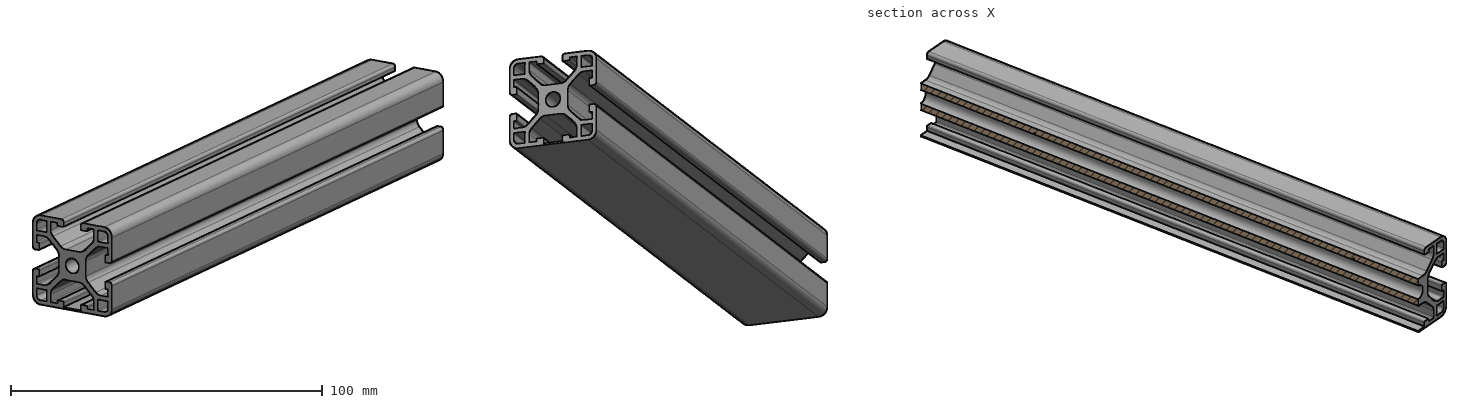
import cadquery as cq
import math

LENGTH = 200.0
SIDE = 30.0
HALF = SIDE / 2
CORNER_RADIUS = 3.0

WALL = 1.5
OPENING_HALF = 3.2
LIP_HOOK = 1.0
LIP_SIZE = WALL + LIP_HOOK
LIP_RADIUS = 1.0
EASE_RADIUS = 0.3
CAVITY_HALF = 8.2
BEND_RADIUS = 2.8
WEB_THICKNESS = 2.0

BORE_DIAMETER = 5.0
CORE_WALL = 2.5
CORE_HALF = BORE_DIAMETER / 2 + CORE_WALL

HOLLOW_SIDE = HALF - CAVITY_HALF - 2 * WALL
HOLLOW_RADIUS = CORNER_RADIUS - WALL

COVER_THICKNESS = 0.5


def section():
    """Sketch plane across the extrusion; its x and y are the part's X and Z."""
    return cq.Workplane("XZ")


def extrude_through(sketch):
    """Extrude a closed outline along the full length, centred on the origin."""
    return sketch.extrude(LENGTH / 2, both=True)


def slot_cavity():
    """Top slot's inner space: straight walls, 45 degree web faces, flat floor, rounded bends."""
    roof = HALF - WALL
    web_offset = WEB_THICKNESS / 2 * math.sqrt(2)
    right_side = [
        (CORE_HALF - web_offset, CORE_HALF),
        (CAVITY_HALF, CAVITY_HALF + web_offset),
        (CAVITY_HALF, roof),
    ]
    left_side = [(-x, z) for x, z in reversed(right_side)]
    cavity = extrude_through(section().polyline(right_side + left_side).close())
    return cavity.edges("|Y").edges("not >Z").fillet(BEND_RADIUS)


def slot_lips():
    """Solid band holding both lips and the gap between them, below the outer wall."""
    width = 2 * (OPENING_HALF + LIP_SIZE)
    centre_z = HALF - WALL - LIP_HOOK / 2
    return extrude_through(section().center(0, centre_z).rect(width, LIP_HOOK))


def slot_mouth():
    """Opening between the lips, with both outer edges rounded."""
    flare_half = OPENING_HALF + LIP_RADIUS
    round_base = HALF - LIP_RADIUS
    lip_inner = HALF - LIP_SIZE
    outline = (
        section()
        .moveTo(-flare_half, HALF)
        .radiusArc((-OPENING_HALF, round_base), LIP_RADIUS)
        .lineTo(-OPENING_HALF, lip_inner)
        .lineTo(OPENING_HALF, lip_inner)
        .lineTo(OPENING_HALF, round_base)
        .radiusArc((flare_half, HALF), LIP_RADIUS)
        .close()
    )
    return extrude_through(outline)


def slot_cutter():
    """Complete top slot, with the corners under the outer wall and around the lips eased."""
    slot = slot_cavity().cut(slot_lips()).union(slot_mouth())
    eased_zone = cq.selectors.BoxSelector(
        (-SIDE, -LENGTH, HALF - LIP_SIZE - EASE_RADIUS),
        (SIDE, LENGTH, HALF - WALL + EASE_RADIUS),
    )
    return slot.edges("|Y").edges(eased_zone).fillet(EASE_RADIUS)


def corner_hollow():
    """Square hollow in the +X +Z corner, well rounded at its outermost edge, eased elsewhere."""
    centre = HALF - WALL - HOLLOW_SIDE / 2
    hollow = extrude_through(section().center(centre, centre).rect(HOLLOW_SIDE, HOLLOW_SIDE))
    hollow = hollow.edges(">X and >Z").fillet(HOLLOW_RADIUS)
    return hollow.edges("|Y").edges("<X or <Z").fillet(EASE_RADIUS)


def slot_cover():
    """Thin strip flush with the bottom face that bridges the bottom slot's mouth."""
    width = 2 * (OPENING_HALF + LIP_RADIUS)
    centre_z = -HALF + COVER_THICKNESS / 2
    return extrude_through(section().center(0, centre_z).rect(width, COVER_THICKNESS))


body = extrude_through(section().rect(SIDE, SIDE)).edges("|Y").fillet(CORNER_RADIUS)
body = body.cut(extrude_through(section().circle(BORE_DIAMETER / 2)))

slot = slot_cutter()
hollow = corner_hollow()
for angle in (0, 90, 180, 270):
    body = body.cut(slot.rotate((0, 0, 0), (0, 1, 0), angle))
    body = body.cut(hollow.rotate((0, 0, 0), (0, 1, 0), angle))

result = body.union(slot_cover()).solids()